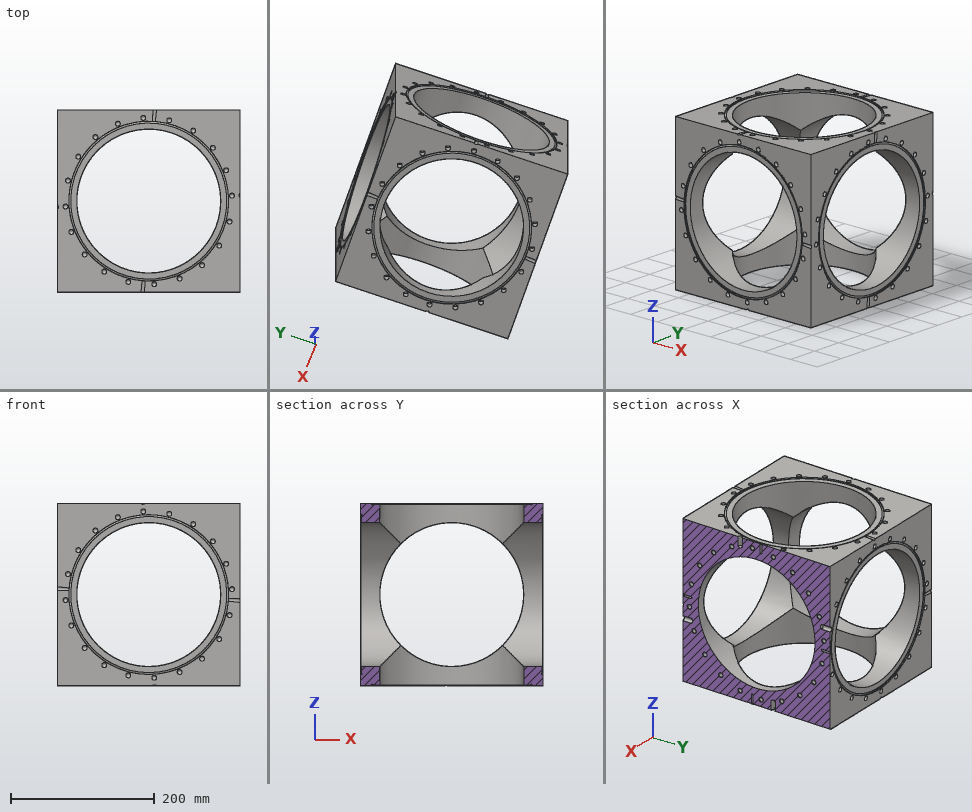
import cadquery as cq
import math

CUBE_SIZE = 254.0
BORE_DIAMETER = 200.0

SEAL_DIAMETER = 222.4
KNIFE_DIAMETER = 217.1
KNIFE_DEPTH = 1.0
KNIFE_SLOPE = 20.0

BOLT_COUNT = 20
BOLT_CIRCLE_DIAMETER = 232.0
BOLT_HOLE_DIAMETER = 6.8
BOLT_HOLE_DEPTH = 15.0
DRILL_POINT_ANGLE = 118.0

GROOVE_RADIUS = 3.0
GROOVE_INNER_WIDTH = 3.8
GROOVE_OUTER_WIDTH = 5.0
GROOVE_OVERRUN = 2.4

PATTERN_TURN = 3.75

HALF_SIZE = CUBE_SIZE / 2
SEAL_RADIUS = SEAL_DIAMETER / 2
KNIFE_RADIUS = KNIFE_DIAMETER / 2
BORE_RADIUS = BORE_DIAMETER / 2
BOLT_PITCH = 360.0 / BOLT_COUNT

PORTS = [
    ((0, 0, 1), (1, 0, 0)),
    ((0, 0, -1), (1, 0, 0)),
    ((0, -1, 0), (0, 0, -1)),
    ((0, 1, 0), (0, 0, -1)),
    ((-1, 0, 0), (0, -1, 0)),
    ((1, 0, 0), (0, 1, 0)),
]


def seal_recess():
    """Shallow recess whose floor slopes down from the knife edge to the outer wall."""
    slope_drop = (SEAL_RADIUS - KNIFE_RADIUS) * math.tan(math.radians(KNIFE_SLOPE))
    return (
        cq.Workplane("XZ")
        .moveTo(0, 0)
        .lineTo(SEAL_RADIUS, 0)
        .lineTo(SEAL_RADIUS, -KNIFE_DEPTH - slope_drop)
        .lineTo(KNIFE_RADIUS, -KNIFE_DEPTH)
        .lineTo(0, -KNIFE_DEPTH)
        .close()
        .revolve(360, (0, 0, 0), (0, 1, 0))
        .val()
    )


def bolt_hole():
    """Blind drilled hole with a conical bottom, lying on the bolt circle."""
    radius = BOLT_HOLE_DIAMETER / 2
    point_length = radius / math.tan(math.radians(DRILL_POINT_ANGLE / 2))
    return (
        cq.Workplane("XZ")
        .lineTo(radius, 0)
        .lineTo(radius, -BOLT_HOLE_DEPTH)
        .lineTo(0, -BOLT_HOLE_DEPTH - point_length)
        .close()
        .revolve(360, (0, 0, 0), (0, 1, 0))
        .val()
        .translate(cq.Vector(BOLT_CIRCLE_DIAMETER / 2, 0, 0))
    )


def groove_axis_height(width):
    """Height of the groove axis above the face for a given groove width."""
    return math.sqrt(GROOVE_RADIUS**2 - (width / 2) ** 2)


def leak_groove():
    """Round groove running from the seal recess out past the cube edge."""
    inner_height = groove_axis_height(GROOVE_INNER_WIDTH)
    outer_height = groove_axis_height(GROOVE_OUTER_WIDTH)
    start = cq.Vector(0, SEAL_RADIUS, inner_height)
    run = cq.Vector(0, HALF_SIZE, outer_height) - start
    overrun = run.normalized() * GROOVE_OVERRUN
    length = run.Length + 2 * GROOVE_OVERRUN
    return cq.Solid.makeCylinder(GROOVE_RADIUS, length, start - overrun, run)


def turned(shape, angle):
    """Shape turned about the port axis."""
    return shape.rotate(cq.Vector(0, 0, 0), cq.Vector(0, 0, 1), angle)


def port_cutters():
    """All the cutters of one port face."""
    cutters = [seal_recess()]
    hole = bolt_hole()
    for index in range(BOLT_COUNT):
        cutters.append(turned(hole, PATTERN_TURN + index * BOLT_PITCH))
    groove = leak_groove()
    for half_turn in (0, 180):
        cutters.append(turned(groove, half_turn - PATTERN_TURN))
    return cutters


def cube_body():
    """Cube pierced by three crossing bores."""
    body = cq.Workplane("XY").box(CUBE_SIZE, CUBE_SIZE, CUBE_SIZE)
    for plane in ("XY", "XZ", "YZ"):
        bore = cq.Workplane(plane).circle(BORE_RADIUS).extrude(HALF_SIZE, both=True)
        body = body.cut(bore)
    return body.val()


def cut_ports(body):
    """Body with the seal, holes and grooves cut into all six faces."""
    cutters = port_cutters()
    for outward, across in PORTS:
        origin = cq.Vector(*outward) * HALF_SIZE
        face = cq.Plane(origin, cq.Vector(*across), cq.Vector(*outward))
        body = body.cut(*[cutter.moved(cq.Location(face)) for cutter in cutters])
    return body


result = cq.Workplane("XY").newObject([cut_ports(cube_body())])